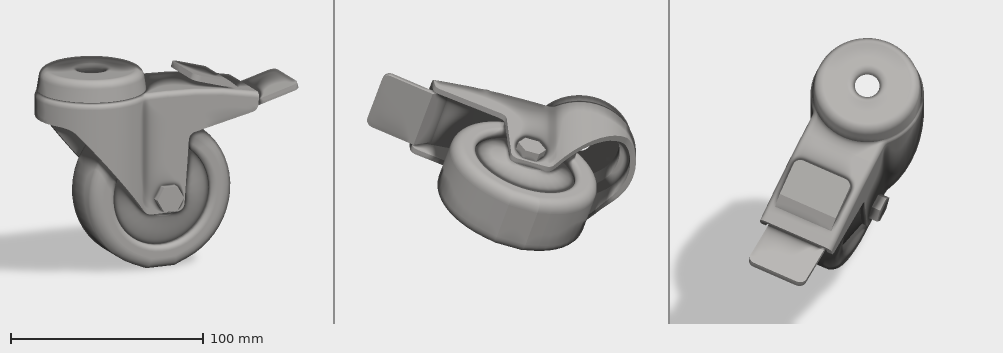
import cadquery as cq
import math


axle_y = 33.9
wheel_radius = 40.0
wheel_half_width = 16.1
tyre_fillet = 6.1
contact_tilt = 22.2
rim_bore_radius = 27.4
rim_fillet = 3.0
cone_outer_x = 11.5
hub_radius = 11.0

sheet = 3.0
fork_half_width = 20.6
head_radius = 29.5
roof_z = 56.5
fork_edge_fillet = 3.0
neck_fillet = 5.5
fork_bottom_z = -8.5
head_skirt_z = 43.1
roof_bend_y = 34.9
roof_bend_radius = 220.4
roof_tail_y = 81.6
fork_tail_y = 86.9
leg_front_y = -21.0
leg_toe_y = 22.6
wheel_clearance_y = 46.5
wheel_clearance_z = 32.6
cheek_top_y = 87.9
cheek_tail_y = 85.3
cheek_tail_z = 41.1
leg_rear_y = 43.5
tail_corner_radius = 4.0
leg_rear_radius = 4.2
leg_toe_radius = 6.1
skirt_radius = 9.9

cap_bottom_z = roof_z + 0.7
cap_top_z = 68.1
cap_shoulder_z = 64.1
cap_bottom_radius = 28.5
cap_shoulder_radius = 27.4
cap_top_radius = 22.5
cap_neck_radius = 22.6
cavity_radius = 21.0
mouth_radius = 10.5
mouth_rounding = 4.2

bolt_head_x = 25.4
bolt_head_corner_diameter = 15.1

pedal_top_side = [(110.9, 52.0), (86.0, 45.2), (71.8, 57.0), (51.7, 62.9)]
pedal_thickness = 3.2
pedal_half_width = 16.1
pedal_corner_radius = 4.0

cut_margin = 7.0


def side_solid(outline, half_width):
    """Extrude a YZ outline symmetrically about X = 0."""
    return outline.extrude(half_width, both=True)


def rounded_polygon(corners):
    """Closed YZ outline from (y, z, radius) corners; radius 0 keeps a corner sharp."""
    outline = cq.Workplane("YZ")
    for i, (y, z, radius) in enumerate(corners):
        previous = corners[i - 1]
        following = corners[(i + 1) % len(corners)]
        corner = cq.Vector(y, z)
        to_previous = (cq.Vector(*previous[:2]) - corner).normalized()
        to_following = (cq.Vector(*following[:2]) - corner).normalized()
        half_angle = to_previous.getAngle(to_following) / 2
        setback = radius / math.tan(half_angle)
        arc_start = corner + to_previous * setback
        arc_end = corner + to_following * setback
        bisector = (to_previous + to_following).normalized()
        arc_middle = corner + bisector * (radius / math.sin(half_angle) - radius)
        if i == 0:
            outline = outline.moveTo(arc_start.x, arc_start.y)
        else:
            outline = outline.lineTo(arc_start.x, arc_start.y)
        if radius > 0:
            outline = outline.threePointArc((arc_middle.x, arc_middle.y), (arc_end.x, arc_end.y))
    return outline.close()


def make_tyre():
    """Round tyre whose bottom is a flat contact patch between two tangent facets."""
    tilt = math.radians(contact_tilt)
    patch_half_length = wheel_radius * math.tan(tilt / 2)
    facet_end_y = wheel_radius * math.sin(tilt)
    facet_end_z = -wheel_radius * math.cos(tilt)
    outline = (
        cq.Workplane("YZ")
        .moveTo(axle_y + facet_end_y, facet_end_z)
        .threePointArc((axle_y, wheel_radius), (axle_y - facet_end_y, facet_end_z))
        .lineTo(axle_y - patch_half_length, -wheel_radius)
        .lineTo(axle_y + patch_half_length, -wheel_radius)
        .close()
    )
    tyre = side_solid(outline, wheel_half_width)
    return tyre.faces("<X or >X").edges().fillet(tyre_fillet)


def make_wheel():
    """Tyre with a dished conical hub on both sides; the hub ends touch the fork cheeks."""
    hub_x = fork_half_width - sheet
    lip_x = wheel_half_width - rim_fillet
    lip_radius = rim_bore_radius + rim_fillet
    lip_middle = rim_fillet * math.sqrt(0.5)
    wheel = make_tyre().cut(
        cq.Workplane("YZ").center(axle_y, 0).circle(lip_radius)
        .extrude(wheel_half_width + cut_margin, both=True)
    )
    half_profile = (
        cq.Workplane("XY")
        .moveTo(0, axle_y)
        .lineTo(hub_x, axle_y)
        .lineTo(hub_x, axle_y + hub_radius)
        .lineTo(cone_outer_x, axle_y + rim_bore_radius)
        .lineTo(lip_x, axle_y + rim_bore_radius)
        .threePointArc(
            (lip_x + lip_middle, axle_y + lip_radius - lip_middle),
            (wheel_half_width, axle_y + lip_radius),
        )
        .lineTo(0, axle_y + lip_radius)
        .close()
    )
    hub = half_profile.revolve(360, (0, axle_y, 0), (1, axle_y, 0))
    return wheel.union(hub).union(hub.mirror("YZ"))


def fork_plan(inset):
    """Fork seen along Z, moved inward by inset: round head, concave blends, straight cheeks."""
    half_width = fork_half_width - inset
    radius = head_radius - inset
    blend = neck_fillet + inset
    blend_x = half_width + blend
    blend_y = math.sqrt((radius + blend) ** 2 - blend_x ** 2)
    head_x = blend_x * radius / (radius + blend)
    head_y = blend_y * radius / (radius + blend)
    turn = math.atan2(blend_y, blend_x) / 2
    middle_x = blend_x - blend * math.cos(turn)
    middle_y = blend_y - blend * math.sin(turn)
    rear_y = fork_tail_y + cut_margin
    return (
        cq.Workplane("XY")
        .workplane(offset=fork_bottom_z - cut_margin)
        .moveTo(half_width, rear_y)
        .lineTo(half_width, blend_y)
        .threePointArc((middle_x, middle_y), (head_x, head_y))
        .threePointArc((0, -radius), (-head_x, head_y))
        .threePointArc((-middle_x, middle_y), (-half_width, blend_y))
        .lineTo(-half_width, rear_y)
        .close()
        .extrude(roof_z - fork_bottom_z + 2 * cut_margin)
    )


def below_roof(depth):
    """Block of everything under the roof surface lowered by depth."""
    arc_radius = roof_bend_radius - depth
    arc_centre_z = roof_z - roof_bend_radius
    tail_angle = math.asin((roof_tail_y - roof_bend_y) / roof_bend_radius)

    def on_arc(angle):
        return (roof_bend_y + arc_radius * math.sin(angle), arc_centre_z + arc_radius * math.cos(angle))

    front_y = -head_radius - cut_margin
    rear_y = fork_tail_y + 2 * cut_margin
    tail_y, tail_z = on_arc(tail_angle)
    rear_z = tail_z - (rear_y - tail_y) * math.tan(tail_angle)
    floor_z = fork_bottom_z - 2 * cut_margin
    outline = (
        cq.Workplane("YZ")
        .moveTo(front_y, floor_z)
        .lineTo(front_y, roof_z - depth)
        .lineTo(*on_arc(0))
        .threePointArc(on_arc(tail_angle / 2), (tail_y, tail_z))
        .lineTo(rear_y, rear_z)
        .lineTo(rear_y, floor_z)
        .close()
    )
    return side_solid(outline, head_radius + cut_margin)


def cheek_shape():
    """Fork silhouette along X; the roof itself is shaped separately."""
    front_y = -head_radius - cut_margin
    top_z = roof_z + cut_margin
    corners = [
        (front_y, top_z, 0),
        (cheek_top_y, top_z, 0),
        (cheek_tail_y, cheek_tail_z, tail_corner_radius),
        (wheel_clearance_y, wheel_clearance_z, leg_rear_radius),
        (leg_rear_y, fork_bottom_z, leg_rear_radius),
        (leg_toe_y, fork_bottom_z, leg_toe_radius),
        (leg_front_y, head_skirt_z, skirt_radius),
        (front_y, head_skirt_z, 0),
    ]
    return side_solid(rounded_polygon(corners), head_radius + cut_margin)


def make_fork():
    """Sheet fork: rounded top edge, hollow inside, open at the bottom and the rear."""
    outside = fork_plan(0).intersect(below_roof(0))
    outside = outside.edges(">Z").fillet(fork_edge_fillet)
    inside = fork_plan(sheet).intersect(below_roof(sheet))
    return outside.cut(inside).intersect(cheek_shape())


def make_cap():
    """Tapered round cap standing on a short neck above the fork roof."""
    rounding_middle = (
        cap_top_radius + (cap_shoulder_radius - cap_top_radius) * math.sqrt(0.5),
        cap_shoulder_z + (cap_top_z - cap_shoulder_z) * math.sqrt(0.5),
    )
    profile = (
        cq.Workplane("XZ")
        .moveTo(0, roof_z - sheet)
        .lineTo(cap_neck_radius, roof_z - sheet)
        .lineTo(cap_neck_radius, cap_bottom_z)
        .lineTo(cap_bottom_radius, cap_bottom_z)
        .lineTo(cap_shoulder_radius, cap_shoulder_z)
        .threePointArc(rounding_middle, (cap_top_radius, cap_top_z))
        .lineTo(0, cap_top_z)
        .close()
    )
    return profile.revolve(360, (0, 0, 0), (0, 1, 0))


def make_cap_hollow():
    """Cavity under the cap sheet, open through the roof, and the rounded mouth of the bolt hole."""
    ceiling_z = cap_top_z - sheet
    rounding_centre_z = cap_top_z - mouth_rounding

    def mouth_point(angle):
        return (
            mouth_radius - mouth_rounding * math.cos(angle),
            rounding_centre_z + mouth_rounding * math.sin(angle),
        )

    lip_angle = math.asin((ceiling_z - rounding_centre_z) / mouth_rounding)
    bottom_z = roof_z - sheet - cut_margin
    profile = (
        cq.Workplane("XZ")
        .moveTo(0, bottom_z)
        .lineTo(cavity_radius, bottom_z)
        .lineTo(cavity_radius, ceiling_z)
        .lineTo(*mouth_point(lip_angle))
        .threePointArc(
            mouth_point((lip_angle + math.pi / 2) / 2),
            (mouth_radius, cap_top_z),
        )
        .lineTo(0, cap_top_z)
        .close()
    )
    return profile.revolve(360, (0, 0, 0), (0, 1, 0))


def make_axle_bolt():
    """Hexagonal axle bar whose ends are the two bolt heads."""
    hexagon = cq.Workplane("YZ").center(axle_y, 0).polygon(6, bolt_head_corner_diameter)
    return side_solid(hexagon, bolt_head_x)


def make_pedal():
    """Bent strip: step plate behind the fork, riser through the roof, release tab on top."""
    points = [cq.Vector(y, z) for y, z in pedal_top_side]
    normals = []
    for start, end in zip(points, points[1:]):
        along = (end - start).normalized()
        normals.append(cq.Vector(-along.y, along.x))
    under_side = []
    for point, before, after in zip(points, normals[:1] + normals, normals + normals[-1:]):
        mitre = (before + after).normalized()
        corner = point + mitre * (pedal_thickness / mitre.dot(before))
        under_side.append((corner.x, corner.y))
    outline = cq.Workplane("YZ").polyline(pedal_top_side + under_side[::-1]).close()
    pedal = side_solid(outline, pedal_half_width)
    for end_face in ("<Y", ">Y"):
        pedal = pedal.faces(end_face).edges("not |X").fillet(pedal_corner_radius)
    return pedal


fork_and_cap = make_fork().union(make_cap()).cut(make_cap_hollow())
result = fork_and_cap.union(make_wheel()).union(make_axle_bolt()).union(make_pedal())